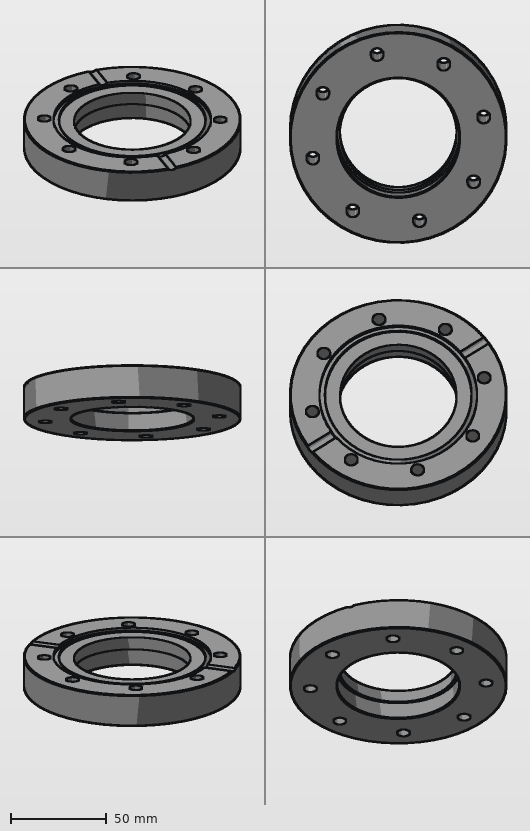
import cadquery as cq
import math

flange_diameter = 113.5
flange_thickness = 17.5
edge_chamfer = 0.5

bore_diameter = 61.0
socket_diameter = 63.8
socket_depth = 9.5

recess_diameter = 82.5
knife_diameter = 77.0
knife_foot_diameter = 76.5
inner_face_depth = 1.2
knife_height = 0.6
knife_slope_angle = 20.0

bolt_count = 8
bolt_hole_diameter = 6.7
bolt_circle_diameter = 92.1
bolt_start_angle = 180.0 / bolt_count

groove_radius = 3.0
groove_depth = 1.0


def make_body():
    """Chamfered disc resting on Z = 0."""
    body = cq.Workplane("XY").circle(flange_diameter / 2).extrude(flange_thickness)
    return body.faces("<Z or >Z").edges().chamfer(edge_chamfer)


def make_bore():
    """Through bore with its socket and the chamfered socket mouth."""
    bore = cq.Workplane("XY").circle(bore_diameter / 2).extrude(flange_thickness)
    socket = cq.Workplane("XY").circle(socket_diameter / 2).extrude(socket_depth)
    mouth = (
        cq.Workplane("XY")
        .circle(socket_diameter / 2 + edge_chamfer)
        .workplane(offset=edge_chamfer)
        .circle(socket_diameter / 2)
        .loft()
    )
    return bore.union(socket).union(mouth)


def make_recess():
    """Revolved recess whose floor rises inward to the knife tip, then drops steeply to the inner face."""
    recess_radius = recess_diameter / 2
    knife_radius = knife_diameter / 2
    inner_face_z = flange_thickness - inner_face_depth
    knife_tip_z = inner_face_z + knife_height
    flank_drop = (recess_radius - knife_radius) * math.tan(math.radians(knife_slope_angle))
    profile = (
        cq.Workplane("XZ")
        .moveTo(0, flange_thickness)
        .lineTo(recess_radius, flange_thickness)
        .lineTo(recess_radius, knife_tip_z - flank_drop)
        .lineTo(knife_radius, knife_tip_z)
        .lineTo(knife_foot_diameter / 2, inner_face_z)
        .lineTo(0, inner_face_z)
        .close()
    )
    return profile.revolve(360, (0, 0, 0), (0, 1, 0))


def make_bolt_holes():
    """Ring of through holes straddling the X and Y axes."""
    return (
        cq.Workplane("XY")
        .polarArray(bolt_circle_diameter / 2, bolt_start_angle, 360, bolt_count)
        .circle(bolt_hole_diameter / 2)
        .extrude(flange_thickness)
    )


def make_leak_grooves():
    """Rod along X that cuts a shallow round groove on both sides of the recess."""
    axis_z = flange_thickness - groove_depth + groove_radius
    rod = cq.Workplane("YZ").center(0, axis_z).circle(groove_radius).extrude(flange_diameter / 2, both=True)
    keep_clear = cq.Workplane("XY").circle(recess_diameter / 2).extrude(axis_z + groove_radius)
    return rod.cut(keep_clear)


result = (
    make_body()
    .cut(make_bore())
    .cut(make_recess())
    .cut(make_bolt_holes())
    .cut(make_leak_grooves())
)